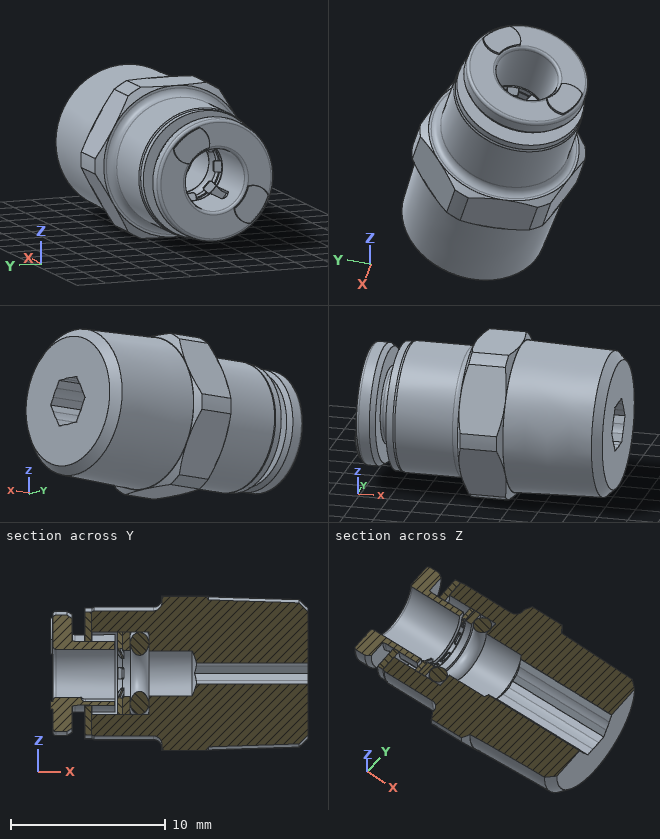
import cadquery as cq
import math

length = 16.7

raised_height = 0.15
flange_end = 1.42
flange_radius = 4.04
flange_front_fillet = 0.2
flange_back_length = 0.35
flange_back_depth = 0.22
neck_radius = 2.55
sleeve_start = 1.59
sleeve_radius = 2.5
sleeve_end = 4.18
button_bore_radius = 2.07
button_lip_fillet = 0.2
pad_radius = 1.25
pad_center_radius = 3.04
pad_limit_radius = 3.79
pad_angles = (55, 215)
slot_start = 1.95
slot_width = 0.62
slot_angle = 225

guide_start = 2.22
guide_radius = 4.25

housing_start = 2.69
front_chamfer_length = 0.15
front_radius = 4.31
front_end = 6.7
hex_start = 7.21
hex_end = 10.24
hex_flats = 10.0
hex_turned_diameter = 11.0
hex_turned_radius = hex_turned_diameter / 2
hex_chamfer_angle = 30
thread_start_radius = 4.98
thread_end_radius = 4.8
thread_taper_end = 16.12
thread_tip_radius = 4.25
chamber_radius = 3.0
tube_bore_radius = 2.0
tube_stop = 9.18
tube_stop_depth = 0.27
key_flats = 3.0
pilot_radius = 1.54

grip_start = 4.35
grip_rim_length = 0.33
grip_rim_radius = 2.1
tooth_count = 8
tooth_root_radius = 2.17
tooth_width = 0.75
tooth_tip_radius = 1.65
tooth_tip_chamfer = 0.08
tooth_length = 0.3
tooth_sheet = 0.13

spacer_start = grip_start + grip_rim_length
spacer_end = 5.18
spacer_bore_radius = 2.02
seal_bore_radius = 1.8
seal_section_radius = (chamber_radius - seal_bore_radius) / 2
chamber_end = spacer_end + 2 * seal_section_radius


def revolve_about_x(profile):
    """Revolve a closed (X, radius) profile about the X axis."""
    return profile.close().revolve(360, (0, 0, 0), (1, 0, 0))


def tube(start, end, outer_radius, inner_radius):
    ring = cq.Workplane("YZ", origin=(start, 0, 0)).circle(outer_radius).circle(inner_radius)
    return ring.extrude(end - start)


def rod(start, end, radius):
    return cq.Workplane("YZ", origin=(start, 0, 0)).circle(radius).extrude(end - start)


def turn(shape, angle):
    return shape.rotate((0, 0, 0), (1, 0, 0), angle)


def make_button():
    profile = (
        cq.Workplane("XY")
        .moveTo(raised_height, button_bore_radius + button_lip_fillet)
        .lineTo(raised_height, flange_radius - flange_front_fillet)
        .radiusArc((raised_height + flange_front_fillet, flange_radius), flange_front_fillet)
        .lineTo(flange_end - flange_back_length, flange_radius)
        .lineTo(flange_end, flange_radius - flange_back_depth)
        .lineTo(flange_end, neck_radius)
        .lineTo(sleeve_start, sleeve_radius)
        .lineTo(sleeve_end, sleeve_radius)
        .lineTo(sleeve_end, button_bore_radius)
        .lineTo(raised_height + button_lip_fillet, button_bore_radius)
        .radiusArc((raised_height, button_bore_radius + button_lip_fillet), button_lip_fillet)
    )
    button = revolve_about_x(profile)

    face_ring = tube(0, flange_end / 2, pad_limit_radius, button_bore_radius + button_lip_fillet)
    for angle in pad_angles:
        pad = rod(0, flange_end / 2, pad_radius).translate((0, pad_center_radius, 0))
        button = button.union(turn(pad, angle).intersect(face_ring))

    slot_radius = slot_width / 2
    slot = (
        cq.Workplane("XZ")
        .moveTo(sleeve_end, -slot_radius)
        .lineTo(slot_start + slot_radius, -slot_radius)
        .threePointArc((slot_start, 0), (slot_start + slot_radius, slot_radius))
        .lineTo(sleeve_end, slot_radius)
        .close()
        .extrude(-neck_radius)
    )
    return button.cut(turn(slot, slot_angle))


def make_hexagon():
    corner_diameter = hex_flats / math.cos(math.pi / 6)
    hexagon = (
        cq.Workplane("YZ", origin=(hex_start, 0, 0))
        .polygon(6, corner_diameter)
        .extrude(hex_end - hex_start)
    )
    flat_radius = hex_flats / 2
    chamfer_length = (hex_turned_radius - flat_radius) * math.tan(math.radians(hex_chamfer_angle))
    envelope = revolve_about_x(
        cq.Workplane("XY")
        .moveTo(hex_start, 0)
        .lineTo(hex_start, flat_radius)
        .lineTo(hex_start + chamfer_length, hex_turned_radius)
        .lineTo(hex_end - chamfer_length, hex_turned_radius)
        .lineTo(hex_end, flat_radius)
        .lineTo(hex_end, 0)
    )
    return hexagon.intersect(envelope)


def make_housing():
    fillet_radius = hex_start - front_end
    hex_middle = (hex_start + hex_end) / 2
    front = revolve_about_x(
        cq.Workplane("XY")
        .moveTo(housing_start, 0)
        .lineTo(housing_start, guide_radius)
        .lineTo(housing_start + front_chamfer_length, front_radius)
        .lineTo(front_end, front_radius)
        .radiusArc((hex_start, front_radius + fillet_radius), -fillet_radius)
        .lineTo(hex_middle, front_radius + fillet_radius)
        .lineTo(hex_middle, 0)
    )
    thread = revolve_about_x(
        cq.Workplane("XY")
        .moveTo(hex_middle, 0)
        .lineTo(hex_middle, thread_start_radius)
        .lineTo(hex_end, thread_start_radius)
        .lineTo(thread_taper_end, thread_end_radius)
        .lineTo(length, thread_tip_radius)
        .lineTo(length, 0)
    )

    bore = revolve_about_x(
        cq.Workplane("XY")
        .moveTo(housing_start, 0)
        .lineTo(housing_start, chamber_radius)
        .lineTo(chamber_end, chamber_radius)
        .lineTo(chamber_end, tube_bore_radius)
        .lineTo(tube_stop, tube_bore_radius)
        .lineTo(tube_stop + tube_stop_depth, pilot_radius)
        .lineTo(length, pilot_radius)
        .lineTo(length, 0)
    )
    key_socket = (
        cq.Workplane("YZ", origin=(tube_stop, 0, 0))
        .polygon(6, key_flats / math.cos(math.pi / 6))
        .extrude(length - tube_stop)
    )
    return front.union(make_hexagon()).union(thread).cut(bore).cut(key_socket)


def make_grip_tooth():
    slope = (tooth_root_radius - tooth_tip_radius) / tooth_length
    root = tooth_root_radius + slope * tooth_sheet
    half_width = tooth_width / 2
    sheet = (
        cq.Workplane("XY")
        .moveTo(grip_start, root)
        .lineTo(grip_start, tooth_root_radius)
        .lineTo(grip_start + tooth_length, tooth_tip_radius)
        .lineTo(grip_start + tooth_length + tooth_sheet, tooth_tip_radius)
        .close()
        .extrude(half_width, both=True)
    )
    outline = (
        cq.Workplane("YZ", origin=(grip_start, 0, 0))
        .moveTo(root, -half_width)
        .lineTo(tooth_tip_radius + tooth_tip_chamfer, -half_width)
        .lineTo(tooth_tip_radius, -half_width + tooth_tip_chamfer)
        .lineTo(tooth_tip_radius, half_width - tooth_tip_chamfer)
        .lineTo(tooth_tip_radius + tooth_tip_chamfer, half_width)
        .lineTo(root, half_width)
        .close()
        .extrude(tooth_length + tooth_sheet)
    )
    return sheet.intersect(outline)


def make_grip_ring():
    grip_ring = tube(grip_start, spacer_start, chamber_radius, grip_rim_radius)
    tooth = make_grip_tooth()
    for index in range(tooth_count):
        grip_ring = grip_ring.union(turn(tooth, index * 360 / tooth_count))
    return grip_ring


def make_seal():
    center_radius = seal_bore_radius + seal_section_radius
    section = cq.Workplane("XY").center(spacer_end + seal_section_radius, center_radius)
    return section.circle(seal_section_radius).revolve(360, (0, -center_radius, 0), (1, -center_radius, 0))


button = make_button()
guide_ring = tube(guide_start, housing_start, guide_radius, sleeve_radius)
housing = make_housing()
grip_ring = make_grip_ring()
spacer = tube(spacer_start, spacer_end, chamber_radius, spacer_bore_radius)
seal = make_seal()

result = cq.Compound.makeCompound(
    [
        *button.solids().vals(),
        guide_ring.val(),
        *housing.solids().vals(),
        *grip_ring.solids().vals(),
        spacer.val(),
        seal.val(),
    ]
)